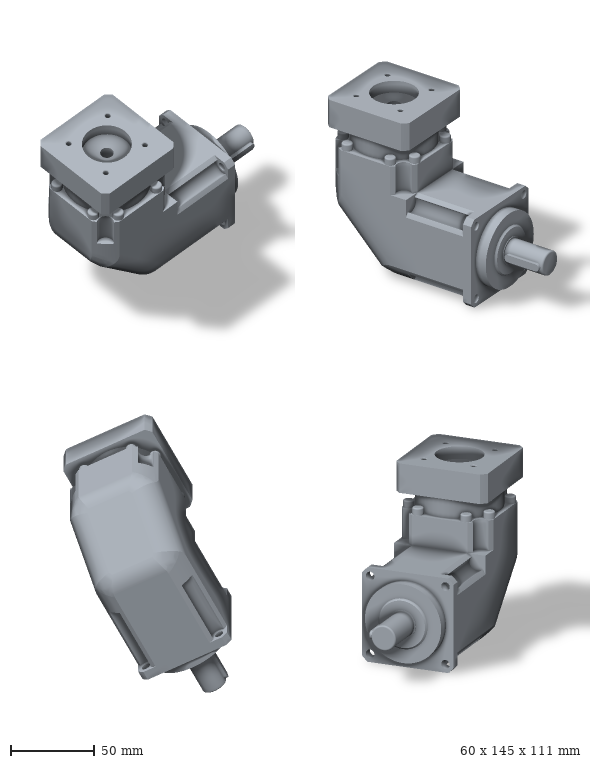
import cadquery as cq
import math


side = 60.0
half = side / 2
body_corner_radius = 35.1
plate_corner_radius = 40.0

total_length = 145.0
shaft_end = total_length - half
flange_face = 78.0
flange_thickness = 6.0
flange_back = flange_face - flange_thickness
pilot_diameter = 50.0
pilot_height = 7.2
seal_diameter = 32.2
seal_height = 1.3
seal_taper = 40
shoulder_diameter = 18.3
shoulder_height = 0.5

shaft_diameter = 16.0
shaft_end_round = 1.0
key_width = 5.0
key_length = 25.1
key_top = 9.9
key_end_gap = 1.6

total_height = 111.0
plate_top = total_height - half
plate_thickness = 18.7
plate_bottom = plate_top - plate_thickness
body_top = 49.3
neck_diameter = 53.8

elbow_leg = 40.0
elbow_fillet = 15.0

bolt_circle_radius = 35.0
bolt_hole_diameter = 5.5
bolt_groove_radius = 5.1

screw_head_diameter = 7.0
screw_head_height = 4.5
screw_head_round = 0.9
screw_near = 15.8
screw_far = 26.4

pilot_bore_diameter = 30.0
pilot_bore_depth = 8.0
input_bore_diameter = 8.1
motor_hole_spacing = 32.5
motor_hole_diameter = 3.3
motor_hole_mouth = 4.0
motor_hole_depth = 11.6
motor_hole_mouth_angle = 90
drill_tip_angle = 118


def plane_along_y(y):
    """Workplane at level y whose normal is +Y."""
    return cq.Plane(origin=(0, y, 0), xDir=(-1, 0, 0), normal=(0, 1, 0))


def plane_along_z(z):
    """Workplane at level z whose normal is +Z."""
    return cq.Plane(origin=(0, 0, z), xDir=(1, 0, 0), normal=(0, 0, 1))


def square_bar(plane, length):
    return cq.Workplane(plane).rect(side, side).extrude(length)


def round_bar(plane, diameter, length):
    return cq.Workplane(plane).circle(diameter / 2).extrude(length)


def turned_square(plane, length, corner_radius):
    """Square bar whose four corners are turned to a radius about its axis."""
    return square_bar(plane, length).intersect(round_bar(plane, 2 * corner_radius, length))


def corner_waste(plane, length):
    """The four corner slivers that turning removes from a square bar."""
    return square_bar(plane, length).cut(round_bar(plane, 2 * body_corner_radius, length))


def corner_bolt_bars(plane, diameter, length):
    """Four round bars on the diagonals, at the bolt circle."""
    pitch = bolt_circle_radius * math.sqrt(2)
    bolts = cq.Workplane(plane).rect(pitch, pitch, forConstruction=True).vertices()
    return bolts.circle(diameter / 2).extrude(length)


def housing():
    """Elbow of two square arms with turned corners and a rounded 45 degree face."""
    lying_start = plane_along_y(-half)
    lying_length = flange_back + half
    standing_start = plane_along_z(-half)
    standing_length = body_top + half
    body = square_bar(lying_start, lying_length).union(square_bar(standing_start, standing_length))

    elbow_top = square_bar(plane_along_z(0), half)
    elbow_back = square_bar(plane_along_y(0), half)
    body = body.cut(corner_waste(lying_start, lying_length).cut(elbow_top))
    body = body.cut(corner_waste(standing_start, standing_length).cut(elbow_back))

    inner = elbow_leg - half
    corner_slice = (
        cq.Workplane("YZ")
        .polyline([(-half, -half), (inner, -half), (-half, inner)])
        .close()
        .extrude(half, both=True)
    )
    body = body.cut(corner_slice)
    slanted_face = cq.selectors.DirectionMinMaxSelector(cq.Vector(0, -1, -1))
    body = body.faces(slanted_face).edges().fillet(elbow_fillet)

    groove_diameter = 2 * bolt_groove_radius
    body = body.cut(corner_bolt_bars(plane_along_y(half), groove_diameter, flange_back - half))
    return body.cut(corner_bolt_bars(plane_along_z(half), groove_diameter, body_top - half))


def output_flange():
    """Mounting flange with bolt holes, pilot, seal cover and shaft shoulder."""
    back = plane_along_y(flange_back)
    flange = turned_square(back, flange_thickness, plate_corner_radius)
    flange = flange.cut(corner_bolt_bars(back, bolt_hole_diameter, flange_thickness))
    seal_face = flange_face + pilot_height
    shoulder_face = seal_face + seal_height
    pilot = round_bar(plane_along_y(flange_face), pilot_diameter, pilot_height)
    seal_disc = cq.Workplane(plane_along_y(seal_face)).circle(seal_diameter / 2)
    seal = seal_disc.extrude(seal_height, taper=seal_taper)
    shoulder = round_bar(plane_along_y(shoulder_face), shoulder_diameter, shoulder_height)
    return flange.union(pilot).union(seal).union(shoulder)


def output_shaft():
    """Shaft with a round-ended key on its +X side."""
    shaft = round_bar(plane_along_y(flange_face), shaft_diameter, shaft_end - flange_face)
    shaft = shaft.faces(">Y").edges().fillet(shaft_end_round)
    key_middle = shaft_end - key_end_gap - key_length / 2
    key = cq.Workplane("YZ").center(key_middle, 0).slot2D(key_length, key_width).extrude(key_top)
    return shaft.union(key)


def cover_screws():
    """Eight screw heads, two at each corner of the body top."""
    places = []
    for sx in (-1, 1):
        for sy in (-1, 1):
            places.append((sx * screw_near, sy * screw_far))
            places.append((sx * screw_far, sy * screw_near))
    heads = cq.Workplane(plane_along_z(body_top)).pushPoints(places)
    heads = heads.circle(screw_head_diameter / 2).extrude(screw_head_height)
    return heads.faces(">Z").edges().fillet(screw_head_round)


def motor_hole_tools():
    """Four blind drilled holes with chamfered mouths and conical drill tips."""
    radius = motor_hole_diameter / 2
    mouth_radius = motor_hole_mouth / 2
    mouth_depth = (mouth_radius - radius) / math.tan(math.radians(motor_hole_mouth_angle / 2))
    tip_length = radius / math.tan(math.radians(drill_tip_angle / 2))
    wall_end = plate_top - motor_hole_depth
    hole = (
        cq.Workplane("XZ")
        .moveTo(0, plate_top)
        .lineTo(mouth_radius, plate_top)
        .lineTo(radius, plate_top - mouth_depth)
        .lineTo(radius, wall_end)
        .lineTo(0, wall_end - tip_length)
        .close()
        .revolve()
    )
    pattern = cq.Workplane("XY").rect(motor_hole_spacing, motor_hole_spacing, forConstruction=True)
    return pattern.vertices().eachpoint(hole.val(), combine=True)


def input_plate():
    """Motor plate on its neck, with a stepped centre bore and four motor holes."""
    neck = round_bar(plane_along_z(body_top), neck_diameter, plate_bottom - body_top)
    plate = turned_square(plane_along_z(plate_bottom), plate_thickness, plate_corner_radius)
    plate = plate.union(neck)
    bore_floor = plate_top - pilot_bore_depth
    plate = plate.cut(round_bar(plane_along_z(bore_floor), pilot_bore_diameter, pilot_bore_depth))
    plate = plate.cut(round_bar(plane_along_z(body_top), input_bore_diameter, bore_floor - body_top))
    return plate.cut(motor_hole_tools())


result = (
    housing()
    .union(output_flange())
    .union(output_shaft())
    .union(cover_screws())
    .union(input_plate())
)